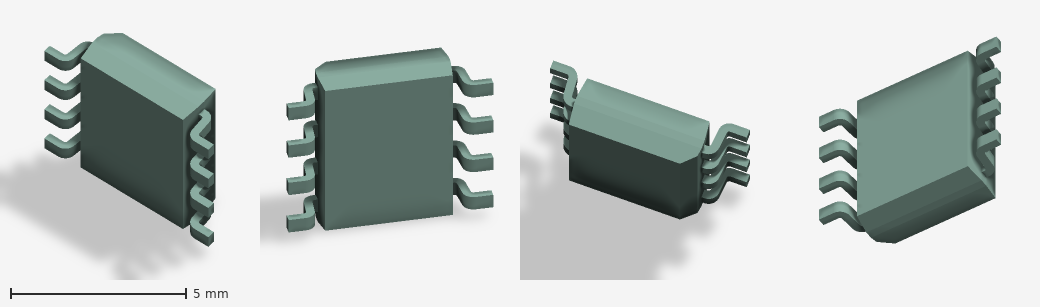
import cadquery as cq
import math


span = 5.99
total_height = 1.75

lead_thickness = 0.25
lead_width = 0.42
lead_pitch = 1.27
leads_per_row = 4
stub_length = 0.095
inner_radius = 0.08
leg_lean = 5.0

housing_width = 3.89
housing_length = 4.9
draft_angle = 7.0
belt_height = lead_thickness
housing_bottom = lead_thickness
drafted_height = (total_height - housing_bottom - belt_height) / 2
belt_bottom = housing_bottom + drafted_height
belt_top = belt_bottom + belt_height

bevel_depth = 0.38
bevel_width = 0.35


def make_housing():
    """Belt with a drafted half above and below it, bevelled along the top of the -X side."""
    belt_plane = cq.Plane(origin=(0, belt_bottom, 0), xDir=(1, 0, 0), normal=(0, 1, 0))
    belt = cq.Workplane(belt_plane).rect(housing_width, housing_length).extrude(belt_height)
    upper = belt.faces(">Y").workplane().rect(housing_width, housing_length).extrude(
        drafted_height, taper=draft_angle, combine=False)
    lower = belt.faces("<Y").workplane().rect(housing_width, housing_length).extrude(
        drafted_height, taper=draft_angle, combine=False)
    return belt.union(upper).union(lower).cut(make_bevel_cutter())


def make_bevel_cutter():
    """Prism whose sloping face runs from the drafted -X side up to the top face."""
    draft_slope = math.tan(math.radians(draft_angle))
    side_x = -housing_width / 2 + (drafted_height - bevel_depth) * draft_slope
    top_x = -housing_width / 2 + drafted_height * draft_slope + bevel_width
    outline = [
        (side_x, total_height - bevel_depth),
        (top_x, total_height),
        (-housing_width / 2, total_height),
        (-housing_width / 2, total_height - bevel_depth),
    ]
    return cq.Workplane("XY").polyline(outline).close().extrude(housing_length / 2, both=True)


def make_lead(z_center):
    """Gull-wing lead on the +X side, with its stub end against the housing belt."""
    outer_radius = inner_radius + lead_thickness
    lean = math.radians(leg_lean)
    cos_lean = math.cos(lean)
    sin_lean = math.sin(lean)

    upper_x = housing_width / 2 + stub_length
    upper_y = belt_top - outer_radius
    lower_y = outer_radius
    radius_sum = inner_radius + outer_radius
    leg_rise = upper_y - lower_y + radius_sum * sin_lean
    lower_x = upper_x + radius_sum * cos_lean + leg_rise * math.tan(lean)

    def upper_bend(radius):
        return (upper_x + radius * cos_lean, upper_y + radius * sin_lean)

    def lower_bend(radius):
        return (lower_x - radius * cos_lean, lower_y - radius * sin_lean)

    profile = (
        cq.Workplane("XY", origin=(0, 0, z_center))
        .moveTo(housing_width / 2, belt_top)
        .lineTo(upper_x, belt_top)
        .tangentArcPoint(upper_bend(outer_radius), relative=False)
        .lineTo(*lower_bend(inner_radius))
        .tangentArcPoint((lower_x, lead_thickness), relative=False)
        .lineTo(span / 2, lead_thickness)
        .lineTo(span / 2, 0)
        .lineTo(lower_x, 0)
        .tangentArcPoint(lower_bend(outer_radius), relative=False)
        .lineTo(*upper_bend(inner_radius))
        .tangentArcPoint((upper_x, belt_bottom), relative=False)
        .lineTo(housing_width / 2, belt_bottom)
        .close()
    )
    return profile.extrude(lead_width / 2, both=True)


housing = make_housing()

leads = []
for index in range(leads_per_row):
    lead = make_lead((index - (leads_per_row - 1) / 2) * lead_pitch)
    leads.append(lead.val())
    leads.append(lead.mirror("YZ").val())

result = cq.Compound.makeCompound([housing.val(), *leads])